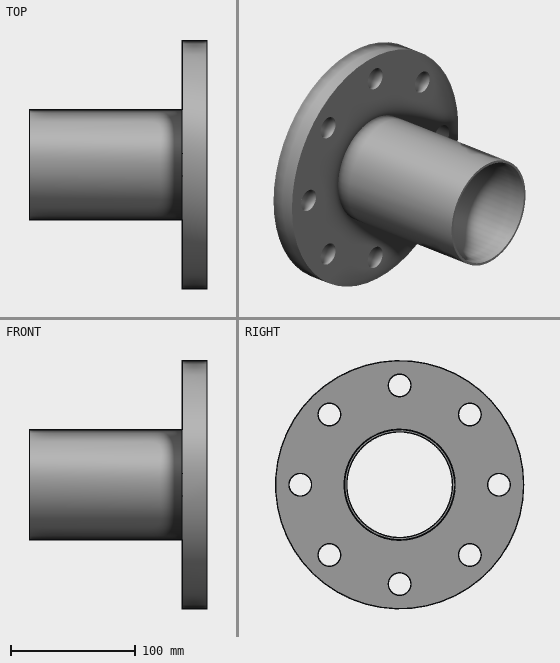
import cadquery as cq

total_length = 143.0

flange_diameter = 200.0
flange_thickness = 20.0
flange_bore_diameter = 89.2
bolt_circle_diameter = 160.0
bolt_hole_diameter = 18.0
bolt_hole_count = 8

pipe_clearance = 0.15
pipe_wall = 2.0
pipe_outer_diameter = flange_bore_diameter - 2 * pipe_clearance
pipe_inner_diameter = pipe_outer_diameter - 2 * pipe_wall

pipe_open_end = -total_length / 2
flange_front = total_length / 2 - flange_thickness


def make_flange():
    """Round plate with a central bore for the pipe and a ring of bolt holes."""
    plate = (
        cq.Workplane("YZ", origin=(flange_front, 0, 0))
        .circle(flange_diameter / 2)
        .circle(flange_bore_diameter / 2)
        .extrude(flange_thickness)
    )
    bolt_holes = (
        cq.Workplane("YZ", origin=(flange_front, 0, 0))
        .polarArray(bolt_circle_diameter / 2, 0, 360, bolt_hole_count)
        .circle(bolt_hole_diameter / 2)
        .extrude(flange_thickness)
    )
    return plate.cut(bolt_holes)


def make_pipe():
    """Thin tube that runs through the flange and ends flush with its far face."""
    return (
        cq.Workplane("YZ", origin=(pipe_open_end, 0, 0))
        .circle(pipe_outer_diameter / 2)
        .circle(pipe_inner_diameter / 2)
        .extrude(total_length)
    )


flange = make_flange()
pipe = make_pipe()

result = cq.Compound.makeCompound([flange.val(), pipe.val()])